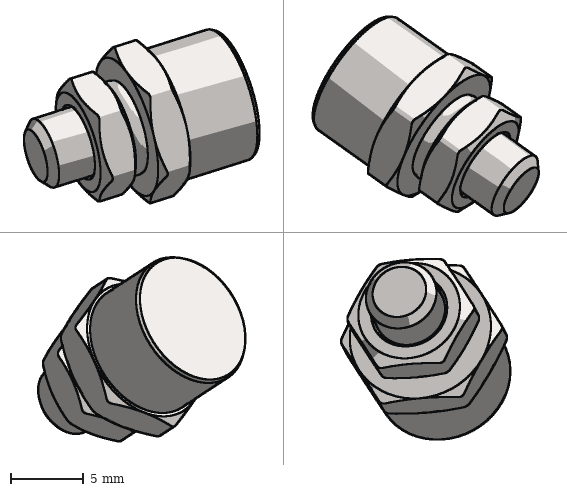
import cadquery as cq
import math

total_length = 15.0
pin_length = 3.25
small_nut_thickness = 2.73
ring_gap = 1.02
large_hex_thickness = 2.49

pin_diameter = 5.0
pin_chamfer = 0.6

small_nut_flats = 7.9
small_nut_face_diameter = 7.2
large_hex_flats = 10.0
hex_corner_radius = 0.5
bevel_angle = math.radians(30)
countersink_diameter = 5.4

ring_outer_diameter = 6.84
ring_section_radius = 0.8
ring_center_setback = 0.32

body_diameter = 9.5
body_chamfer_length = 0.25
body_chamfer_depth = 0.15

small_nut_front = pin_length
small_nut_back = small_nut_front + small_nut_thickness
large_hex_front = small_nut_back + ring_gap
large_hex_back = large_hex_front + large_hex_thickness


def revolve_profile(points):
    """Revolve a closed (radius, station) outline about the Y axis."""
    return cq.Workplane("XY").polyline(points).close().revolve(360, (0, 0, 0), (0, 1, 0))


def bevelled_hexagon(front, thickness, flats, face_diameter):
    """Hexagonal prism with corners on X, trimmed at both ends by 30 degree cones."""
    prism = (
        cq.Workplane("XZ", origin=(0, front + thickness, 0))
        .polygon(6, flats / math.cos(math.pi / 6))
        .extrude(thickness)
        .edges("|Y")
        .fillet(hex_corner_radius)
    )
    face_radius = face_diameter / 2
    outer_radius = flats / math.sqrt(3)
    bevel_length = (outer_radius - face_radius) * math.tan(bevel_angle)
    back = front + thickness
    envelope = revolve_profile([
        (0, front),
        (face_radius, front),
        (outer_radius, front + bevel_length),
        (outer_radius, back - bevel_length),
        (face_radius, back),
        (0, back),
    ])
    return prism.intersect(envelope)


def make_pin():
    radius = pin_diameter / 2
    return revolve_profile([
        (0, 0),
        (radius - pin_chamfer, 0),
        (radius, pin_chamfer),
        (radius, large_hex_front),
        (0, large_hex_front),
    ])


def make_small_nut():
    """Hexagon nut with a shallow 45 degree countersink around the pin."""
    nut = bevelled_hexagon(
        small_nut_front, small_nut_thickness, small_nut_flats, small_nut_face_diameter
    )
    mouth_radius = countersink_diameter / 2
    countersink_depth = mouth_radius - pin_diameter / 2
    countersink = revolve_profile([
        (0, small_nut_front),
        (mouth_radius, small_nut_front),
        (pin_diameter / 2, small_nut_front + countersink_depth),
        (0, small_nut_front + countersink_depth),
    ])
    return nut.cut(countersink)


def make_ring():
    """Sealing ring, cut off flat where it meets the nut and the large hexagon."""
    section_center = ring_outer_diameter / 2 - ring_section_radius
    torus = (
        cq.Workplane("XY")
        .center(section_center, large_hex_front - ring_center_setback)
        .circle(ring_section_radius)
        .revolve(360, (-section_center, 0, 0), (-section_center, 1, 0))
    )
    gap = (
        cq.Workplane("XZ", origin=(0, large_hex_front, 0))
        .circle(ring_outer_diameter)
        .extrude(ring_gap)
    )
    return torus.intersect(gap)


def make_body():
    radius = body_diameter / 2
    return revolve_profile([
        (0, large_hex_back),
        (radius, large_hex_back),
        (radius, total_length - body_chamfer_length),
        (radius - body_chamfer_depth, total_length),
        (0, total_length),
    ])


large_hexagon = bevelled_hexagon(
    large_hex_front, large_hex_thickness, large_hex_flats, large_hex_flats
)

assembly = (
    large_hexagon
    .union(make_body())
    .union(make_small_nut())
    .union(make_pin())
    .union(make_ring())
)

result = assembly.translate((0, -total_length / 2, 0))